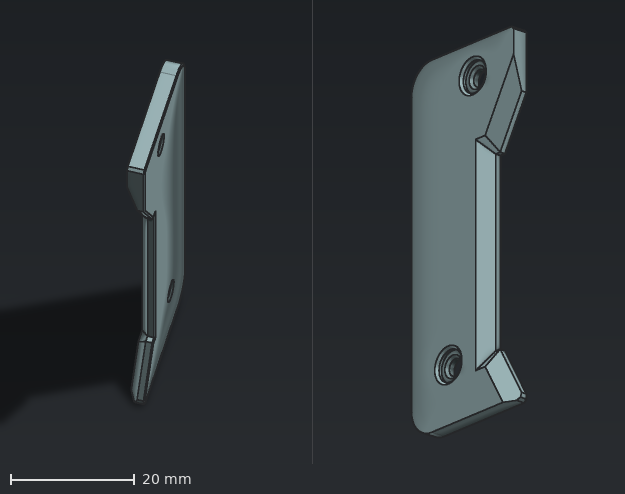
import cadquery as cq
import math

thickness = 3.0
width = 25.0
height = 64.75
corner_radius = 5.0
tip_chamfer = 0.5
back_chamfer_inset = 0.3
back_chamfer_height = 0.2

notch_depth = 6.35
notch_top = 12.35
notch_bottom = -21.9
ledge_depth = 5.25
flank_angle = 60
bevel_width = 3.0
bevel_angle = 30
bevel_depth = bevel_width * math.tan(math.radians(bevel_angle))

hole_centers = [(-2.45, 26.6), (3.5, -21.9)]
hole_diameter = 3.0
step_diameter = 4.0
recess_floor_diameter = 5.65
recess_diameter = 6.6
recess_depth = 1.05
exit_chamfer = 0.4
step_depth = (step_diameter - hole_diameter) / 2
recess_lip = (recess_diameter - recess_floor_diameter) / 2

back = thickness / 2
face = -back
side = -width / 2
outside = 6.5


def notch_section(x, offset):
    """Closed notch outline at height x, widened on every flank by offset."""
    slope = math.tan(math.radians(flank_angle))
    flank_y = side + ledge_depth + offset * math.tan(math.radians(flank_angle / 2))
    floor_y = side + notch_depth + offset
    top = notch_top + offset
    bottom = notch_bottom - offset
    outer_y = side - outside
    flank_rise = (flank_y - outer_y) * slope
    points = [
        (outer_y, top + flank_rise),
        (flank_y, top),
        (floor_y, top),
        (floor_y, bottom),
        (flank_y, bottom),
        (outer_y, bottom - flank_rise),
    ]
    return cq.Wire.makePolygon([cq.Vector(x, y, z) for y, z in points], close=True)


def notched_plate():
    plate = cq.Workplane("XY").box(thickness, width, height)
    plate = plate.edges("|X and >Y").fillet(corner_radius)
    bevel_root = face + bevel_depth
    through = cq.Solid.extrudeLinear(notch_section(face, 0), [], cq.Vector(thickness, 0, 0))
    bevel = cq.Solid.makeLoft([notch_section(face, bevel_width), notch_section(bevel_root, 0)], True)
    plate = plate.cut(cq.Workplane(through))
    plate = plate.edges("|X and <Y and (>Z or <Z)").chamfer(tip_chamfer)
    plate = plate.faces(">X").edges().chamfer(back_chamfer_height, back_chamfer_inset)
    return plate.cut(cq.Workplane(bevel))


def hole_cutter(y, z):
    """Stepped hole entering from the -X face, revolved about its own axis."""
    profile = [
        (face, 0),
        (face, recess_diameter / 2),
        (face + recess_lip, recess_floor_diameter / 2),
        (face + recess_depth, recess_floor_diameter / 2),
        (face + recess_depth, step_diameter / 2),
        (face + recess_depth + step_depth, hole_diameter / 2),
        (back - exit_chamfer, hole_diameter / 2),
        (back, hole_diameter / 2 + exit_chamfer),
        (back, 0),
    ]
    cutter = cq.Workplane("XY").polyline(profile).close().revolve(360, (0, 0, 0), (1, 0, 0))
    return cutter.translate((0, y, z))


result = notched_plate()
for center_y, center_z in hole_centers:
    result = result.cut(hole_cutter(center_y, center_z))